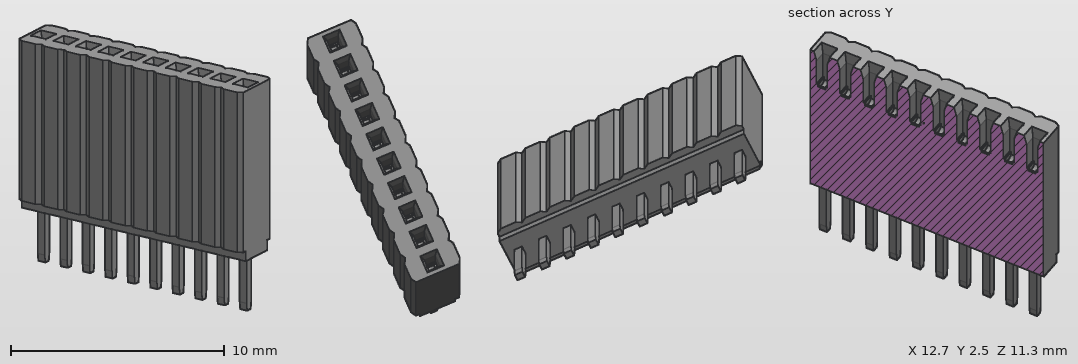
import math

import cadquery as cq

contact_count = 10
pitch = 1.27

housing_length = contact_count * pitch
housing_width = 2.5
housing_height = 8.5
base_width = 1.8
base_height = 0.5

notch_half_width = 0.25
notch_depth = 0.15

socket_mouth = 0.85
shaft_width = 0.57
lead_in_depth = 0.5
socket_depth = 2.0

contact_width = 0.4
trough_radius = 0.35
trough_depth = 0.3
step_y = -0.17
step_height = 0.1
pin_length = 2.8
tip_length = 0.4
tip_width = 0.3

contact_positions = [((i - (contact_count - 1) / 2) * pitch, 0) for i in range(contact_count)]


def make_body():
    """Housing with notched long sides, standing on a narrower base."""
    half_length = housing_length / 2
    half_width = housing_width / 2
    valley_y = half_width - notch_depth
    half_flat = pitch / 2 - notch_half_width
    side = [(-half_length, valley_y)]
    for x, _ in contact_positions:
        side.append((x - half_flat, half_width))
        side.append((x + half_flat, half_width))
        side.append((x + pitch / 2, valley_y))
    opposite_side = [(x, -y) for x, y in reversed(side)]

    housing = (
        cq.Workplane("XY", origin=(0, 0, base_height))
        .polyline(side + opposite_side)
        .close()
        .extrude(housing_height - base_height)
    )
    base = cq.Workplane("XY").box(housing_length, base_width, base_height, centered=(True, True, False))
    return housing.union(base)


def make_socket():
    """Square shaft with a flared mouth, centred on the Z axis."""
    lead_in = (
        cq.Workplane("XY", origin=(0, 0, housing_height))
        .rect(socket_mouth, socket_mouth)
        .workplane(offset=-lead_in_depth)
        .rect(shaft_width, shaft_width)
        .loft(ruled=True)
    )
    shaft = (
        cq.Workplane("XY", origin=(0, 0, housing_height - socket_depth))
        .rect(shaft_width, shaft_width)
        .extrude(socket_depth - lead_in_depth)
    )
    return lead_in.union(shaft)


def trough_point(y, axis_y, lowest_z):
    """Point at y on a trough of round section with the given axis and lowest level."""
    return (y, lowest_z + trough_radius - math.sqrt(trough_radius**2 - (y - axis_y) ** 2))


def make_contact_groove():
    """Two round troughs side by side, the one towards -Y starting one step higher."""
    half_shaft = shaft_width / 2
    floor_z = housing_height - socket_depth
    deep_z = floor_z - trough_depth
    step_bottom = trough_point(step_y, 0, deep_z)
    shallow_z = step_bottom[1] + step_height
    profile = (
        cq.Workplane("YZ")
        .moveTo(half_shaft, floor_z)
        .lineTo(*trough_point(half_shaft, 0, deep_z))
        .threePointArc((0, deep_z), step_bottom)
        .lineTo(step_y, shallow_z)
        .threePointArc(
            trough_point((step_y - half_shaft) / 2, step_y, shallow_z),
            trough_point(-half_shaft, step_y, shallow_z),
        )
        .lineTo(-half_shaft, floor_z)
        .close()
    )
    return profile.extrude(contact_width / 2, both=True)


def make_pin():
    """Square pin whose tip tapers in Y only."""
    half_width = contact_width / 2
    taper_z = -pin_length + tip_length
    profile = [
        (-half_width, base_height),
        (half_width, base_height),
        (half_width, taper_z),
        (tip_width / 2, -pin_length),
        (-tip_width / 2, -pin_length),
        (-half_width, taper_z),
    ]
    return cq.Workplane("YZ").polyline(profile).close().extrude(half_width, both=True)


def at_each_contact(shape):
    """Copies of a shape at every contact position."""
    solid = shape.val()
    return cq.Workplane("XY").pushPoints(contact_positions).eachpoint(lambda place: solid.moved(place))


result = (
    make_body()
    .cut(at_each_contact(make_socket()))
    .cut(at_each_contact(make_contact_groove()))
    .union(at_each_contact(make_pin()))
)